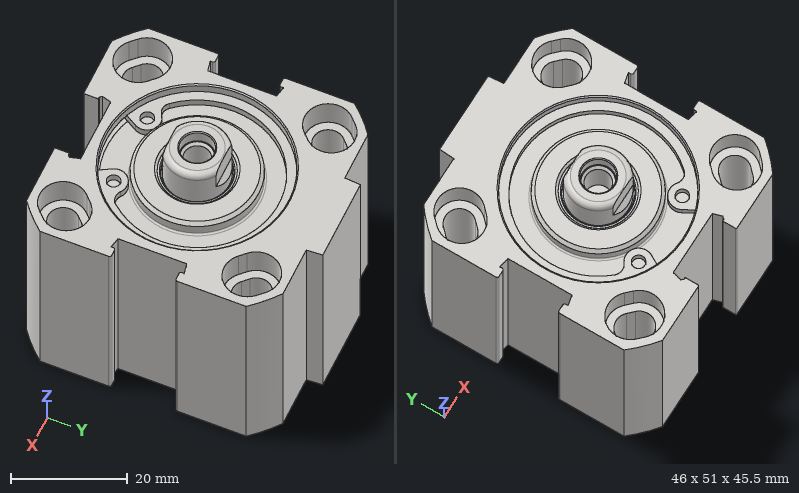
import cadquery as cq
import math


HOUSING_WIDTH = 46.0
HOUSING_DEPTH = 48.0
HOUSING_HEIGHT = 39.45
CORNER_DIAMETER = 60.05
RAIL_HEIGHT = 3.0
RAIL_HALF_WIDTH_BASE = 8.15
RAIL_HALF_WIDTH_TOP = 7.95

SIDE_LIP_HALF_WIDTH = 6.0
SIDE_UNDERCUT_HALF_WIDTH = 6.85
SIDE_FLOOR_HALF_WIDTH = 6.45
SIDE_LIP_THICKNESS = 2.0
SIDE_SLOT_DEPTH = 4.0
SIDE_LIP_RADIUS = 0.4

FRONT_LIP_HALF_WIDTH = 6.1
FRONT_STEP_HALF_WIDTH = 6.55
FRONT_UNDERCUT_HALF_WIDTH = 6.9
FRONT_FLOOR_HALF_WIDTH = 6.4
FRONT_LIP_THICKNESS = 2.8
FRONT_UNDERCUT_DEPTH = 3.2
FRONT_SLOT_DEPTH = 5.0
FRONT_LIP_RADIUS = 0.2

BOLT_X = 16.5
BOLT_Y = 17.5
BOLT_SLOT_SHIFT = 1.6
BOLT_DIAMETER = 5.6
BOLT_HEAD_DIAMETER = 8.7
BOLT_HEAD_DEPTH = 5.6

SEAT_DIAMETER = 33.7
MOUTH_DIAMETER = 34.1
MOUTH_CHAMFER = 0.25
GROOVE_DIAMETER = 35.8
RING_TOP_DEPTH = 2.0
RING_THICKNESS = 1.5
COVER_PLATE_THICKNESS = 10.2

BOSS_DIAMETER = 23.0
BOSS_TOP_DEPTH = 0.5
BOSS_CHAMFER = 0.65
BOSS_BASE_RADIUS = 0.35
WIPER_DIAMETER = 13.7
WIPER_CHAMFER = 0.45
WIPER_DEPTH = 0.55
RELIEF_DIAMETER = 12.55
RELIEF_DEPTH = 0.75
RELIEF_CHAMFER = 0.2

RING_INNER_DIAMETER = 30.6
LUG_X = 7.15
LUG_Y = -12.5
LUG_DIAMETER = 5.05
LUG_HOLE_DIAMETER = 2.5
LUG_FILLET = 2.0

ROD_DIAMETER = 12.0
ROD_STICK_OUT = 6.0
ROD_TOP_RADIUS = 1.2
FLAT_WIDTH = 10.0
FLAT_LENGTH = 4.5
THREAD_DIAMETER = 6.25
THREAD_CHAMFER = 0.2
THREAD_DEPTH = 2.6
DRILL_DIAMETER = 4.9
DRILL_DEPTH = 10.2
DRILL_CONE_DIAMETER = 5.9

RING_TOP = HOUSING_HEIGHT - RING_TOP_DEPTH
PLATE_TOP = RING_TOP - RING_THICKNESS
SEAT_FLOOR = PLATE_TOP - COVER_PLATE_THICKNESS
BOSS_TOP = HOUSING_HEIGHT - BOSS_TOP_DEPTH
WIPER_FLOOR = BOSS_TOP - WIPER_DEPTH
ROD_TOP = HOUSING_HEIGHT + ROD_STICK_OUT


def cylinder(diameter, bottom, top):
    return cq.Workplane("XY", origin=(0, 0, bottom)).circle(diameter / 2).extrude(top - bottom)


def cone(bottom_diameter, top_diameter, bottom, top):
    profile = [(0, bottom), (bottom_diameter / 2, bottom), (top_diameter / 2, top), (0, top)]
    return cq.Workplane("XZ").polyline(profile).close().revolve(360, (0, 0, 0), (0, 1, 0))


def cut_chamfered_bore(body, diameter, chamfer, depth, top):
    """Cut a round blind bore down from the height `top`, with a 45 degree chamfer at its mouth."""
    body = body.cut(cylinder(diameter, top - depth, top))
    return body.cut(cone(diameter, diameter + 2 * chamfer, top - chamfer, top))


def extrude_housing_outline(points):
    return cq.Workplane("XY").polyline(points).close().extrude(HOUSING_HEIGHT)


def mirrored_outline(half_points):
    """Complete an outline given by its half on the positive X side."""
    return half_points + [(-x, y) for x, y in reversed(half_points)]


def housing_block():
    block = cq.Workplane("XY").rect(HOUSING_WIDTH, HOUSING_DEPTH).extrude(HOUSING_HEIGHT)
    block = block.intersect(cylinder(CORNER_DIAMETER, 0, HOUSING_HEIGHT))
    back = HOUSING_DEPTH / 2
    rail = mirrored_outline([(RAIL_HALF_WIDTH_BASE, back), (RAIL_HALF_WIDTH_TOP, back + RAIL_HEIGHT)])
    return block.union(extrude_housing_outline(rail))


def cut_side_slots(block):
    for side in (-1, 1):
        face = side * HOUSING_WIDTH / 2
        lip = face - side * SIDE_LIP_THICKNESS
        floor = face - side * SIDE_SLOT_DEPTH
        upper = [
            (face, SIDE_LIP_HALF_WIDTH),
            (lip, SIDE_LIP_HALF_WIDTH),
            (lip, SIDE_UNDERCUT_HALF_WIDTH),
            (floor, SIDE_FLOOR_HALF_WIDTH),
        ]
        lower = [(x, -y) for x, y in reversed(upper)]
        block = block.cut(extrude_housing_outline(upper + lower))
        for x in (face, lip):
            for y in (-SIDE_LIP_HALF_WIDTH, SIDE_LIP_HALF_WIDTH):
                block = round_vertical_edge(block, x, y, HOUSING_HEIGHT / 2, SIDE_LIP_RADIUS)
    return block


def cut_front_slot(block):
    face = -HOUSING_DEPTH / 2
    half = [
        (FRONT_LIP_HALF_WIDTH, face),
        (FRONT_LIP_HALF_WIDTH, face + FRONT_LIP_THICKNESS),
        (FRONT_STEP_HALF_WIDTH, face + FRONT_LIP_THICKNESS),
        (FRONT_UNDERCUT_HALF_WIDTH, face + FRONT_UNDERCUT_DEPTH),
        (FRONT_FLOOR_HALF_WIDTH, face + FRONT_SLOT_DEPTH),
    ]
    block = block.cut(extrude_housing_outline(mirrored_outline(half)))
    for x in (-FRONT_LIP_HALF_WIDTH, FRONT_LIP_HALF_WIDTH):
        block = round_vertical_edge(block, x, face, HOUSING_HEIGHT / 2, FRONT_LIP_RADIUS)
    return block


def round_vertical_edge(body, x, y, z, radius):
    """Fillet the vertical edge whose middle is at (x, y, z)."""
    return body.edges("|Z").edges(cq.NearestToPointSelector((x, y, z))).fillet(radius)


def cut_bolt_holes(block):
    for x_side in (-1, 1):
        for y_side in (-1, 1):
            slot_angle = -45 * x_side * y_side
            for diameter, bottom in (
                (BOLT_DIAMETER, 0),
                (BOLT_HEAD_DIAMETER, HOUSING_HEIGHT - BOLT_HEAD_DEPTH),
            ):
                hole = (
                    cq.Workplane("XY", origin=(x_side * BOLT_X, y_side * BOLT_Y, bottom))
                    .slot2D(diameter + BOLT_SLOT_SHIFT, diameter, slot_angle)
                    .extrude(HOUSING_HEIGHT - bottom)
                )
                block = block.cut(hole)
    return block


def cut_cover_bore(block):
    block = block.cut(cylinder(SEAT_DIAMETER, SEAT_FLOOR, PLATE_TOP))
    block = block.cut(cylinder(GROOVE_DIAMETER, PLATE_TOP, RING_TOP))
    return cut_chamfered_bore(block, MOUTH_DIAMETER, MOUTH_CHAMFER, RING_TOP_DEPTH, HOUSING_HEIGHT)


def make_housing():
    block = housing_block()
    block = cut_side_slots(block)
    block = cut_front_slot(block)
    block = cut_bolt_holes(block)
    return cut_cover_bore(block)


def make_cover():
    plate = cylinder(SEAT_DIAMETER, SEAT_FLOOR, PLATE_TOP)
    boss = cylinder(BOSS_DIAMETER, PLATE_TOP, BOSS_TOP).faces(">Z").edges().chamfer(BOSS_CHAMFER)
    cover = plate.union(boss)
    boss_edges = cover.edges("%CIRCLE").edges(cq.selectors.RadiusNthSelector(1))
    cover = boss_edges.edges("<Z").fillet(BOSS_BASE_RADIUS)

    cover = cover.cut(cylinder(ROD_DIAMETER, SEAT_FLOOR, BOSS_TOP))
    cover = cut_chamfered_bore(cover, RELIEF_DIAMETER, RELIEF_CHAMFER, RELIEF_DEPTH, WIPER_FLOOR)
    return cut_chamfered_bore(cover, WIPER_DIAMETER, WIPER_CHAMFER, WIPER_DEPTH, BOSS_TOP)


def lug_corner():
    """Point on the positive X side where the lug circle meets the inner edge of the ring."""
    inner_radius = RING_INNER_DIAMETER / 2
    lug_radius = LUG_DIAMETER / 2
    lug_distance = math.hypot(LUG_X, LUG_Y)
    squares = lug_distance**2 + inner_radius**2 - lug_radius**2
    cosine = squares / (2 * lug_distance * inner_radius)
    angle = math.atan2(LUG_Y, LUG_X) + math.acos(cosine)
    return inner_radius * math.cos(angle), inner_radius * math.sin(angle)


def make_snap_ring():
    outer = cylinder(GROOVE_DIAMETER, PLATE_TOP, RING_TOP)
    ring = outer.cut(cylinder(RING_INNER_DIAMETER, PLATE_TOP, RING_TOP))

    reach = GROOVE_DIAMETER / math.hypot(LUG_X, LUG_Y)
    gap_corners = [(0, 0), (-LUG_X * reach, LUG_Y * reach), (LUG_X * reach, LUG_Y * reach)]
    ring_plane = cq.Workplane("XY", origin=(0, 0, PLATE_TOP))
    ring = ring.cut(ring_plane.polyline(gap_corners).close().extrude(RING_THICKNESS))

    lug_length = GROOVE_DIAMETER / 2
    for side in (-1, 1):
        angle = math.degrees(math.atan2(LUG_Y, side * LUG_X))
        lug_centre = ring_plane.center(side * LUG_X, LUG_Y)
        lug = lug_centre.circle(LUG_DIAMETER / 2).extrude(RING_THICKNESS)
        arm = (
            lug_centre.transformed(rotate=(0, 0, angle))
            .center(lug_length / 2, 0)
            .rect(lug_length, LUG_DIAMETER)
            .extrude(RING_THICKNESS)
        )
        ring = ring.union(lug.union(arm).intersect(outer))
        ring = ring.cut(lug_centre.circle(LUG_HOLE_DIAMETER / 2).extrude(RING_THICKNESS))

    x, y = lug_corner()
    for side in (-1, 1):
        ring = round_vertical_edge(ring, side * x, y, PLATE_TOP + RING_THICKNESS / 2, LUG_FILLET)
    return ring


def cut_wrench_flats(rod):
    """Cut two parallel flats, each ending below in a 45 degree run-out."""
    flat = FLAT_WIDTH / 2
    flat_bottom = ROD_TOP - FLAT_LENGTH
    for side in (-1, 1):
        profile = [
            (side * flat, ROD_TOP),
            (side * flat, flat_bottom),
            (side * ROD_DIAMETER, flat_bottom - (ROD_DIAMETER - flat)),
            (side * ROD_DIAMETER, ROD_TOP),
        ]
        rod = rod.cut(cq.Workplane("YZ").polyline(profile).close().extrude(ROD_DIAMETER / 2, both=True))
    return rod


def cut_rod_thread_hole(rod):
    thread_bottom = ROD_TOP - THREAD_DEPTH
    cone_height = (DRILL_CONE_DIAMETER - DRILL_DIAMETER) / 2
    rod = rod.cut(cylinder(DRILL_DIAMETER, ROD_TOP - DRILL_DEPTH, ROD_TOP))
    rod = rod.cut(cone(DRILL_DIAMETER, DRILL_CONE_DIAMETER, thread_bottom - cone_height, thread_bottom))
    return cut_chamfered_bore(rod, THREAD_DIAMETER, THREAD_CHAMFER, THREAD_DEPTH, ROD_TOP)


def make_rod():
    rod = cylinder(ROD_DIAMETER, SEAT_FLOOR, ROD_TOP).faces(">Z").edges().fillet(ROD_TOP_RADIUS)
    rod = cut_wrench_flats(rod)
    return cut_rod_thread_hole(rod)


housing = make_housing()
cover = make_cover()
snap_ring = make_snap_ring()
rod = make_rod()

result = cq.Compound.makeCompound([housing.val(), cover.val(), snap_ring.val(), rod.val()])